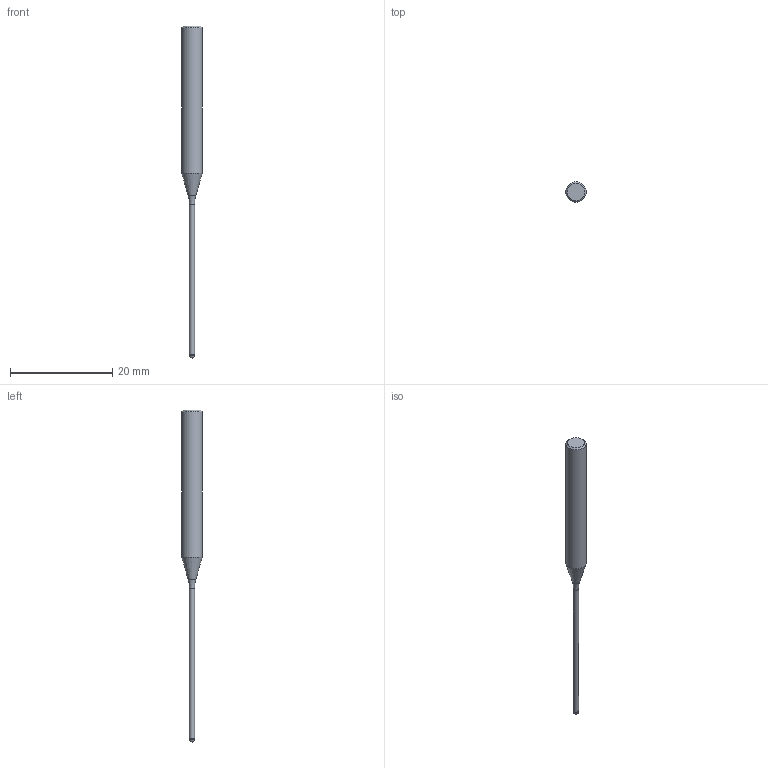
import cadquery as cq
import math

overall_length = 65.0
shank_diameter = 4.0
shank_chamfer = 0.3
cutter_diameter = 1.0
cutter_length = 0.75
reach = 30.0
blend_radius = 6.5
taper_half_angle = math.radians(16)

shank_radius = shank_diameter / 2
cutter_radius = cutter_diameter / 2
neck_radius = cutter_radius


def blend_point(angle):
    """Point on the blend arc where its tangent leans out from the axis by the given angle."""
    return (
        neck_radius + blend_radius * (1 - math.cos(angle)),
        reach + blend_radius * math.sin(angle),
    )


blend_middle = blend_point(taper_half_angle / 2)
blend_end = blend_point(taper_half_angle)
taper_top_z = blend_end[1] + (shank_radius - blend_end[0]) / math.tan(taper_half_angle)


def revolve_about_z(profile):
    return profile.close().revolve(360, (0, 0, 0), (0, 1, 0))


def make_shank():
    return revolve_about_z(
        cq.Workplane("XZ")
        .moveTo(0, cutter_length)
        .lineTo(neck_radius, cutter_length)
        .lineTo(neck_radius, reach)
        .threePointArc(blend_middle, blend_end)
        .lineTo(shank_radius, taper_top_z)
        .lineTo(shank_radius, overall_length - shank_chamfer)
        .lineTo(shank_radius - shank_chamfer, overall_length)
        .lineTo(0, overall_length)
    )


def make_cutter():
    nose_middle = (
        cutter_radius * math.sin(math.pi / 4),
        cutter_radius * (1 - math.cos(math.pi / 4)),
    )
    return revolve_about_z(
        cq.Workplane("XZ")
        .moveTo(0, 0)
        .threePointArc(nose_middle, (cutter_radius, cutter_radius))
        .lineTo(cutter_radius, cutter_length)
        .lineTo(0, cutter_length)
    )


shank = make_shank()
cutter = make_cutter()
result = cq.Compound.makeCompound([shank.val(), cutter.val()])